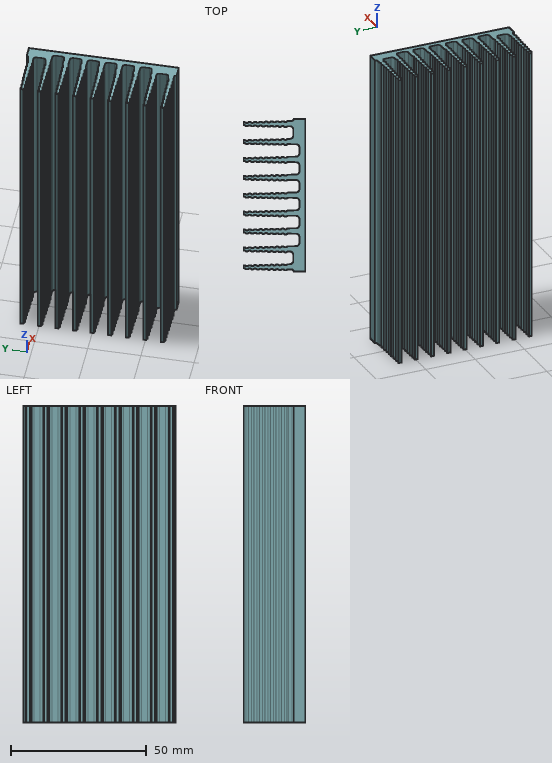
import cadquery as cq
import math

depth = 22.86
width = 56.39
length = 116.84

base_thickness = 2.286
edge_thickness = 4.572
step_thickness = 4.4

fin_count = 9
fin_pitch = 6.604
tip_thickness = 1.19
taper_angle = 1.4
slot_fillet = 1.13
step_fillet = 0.7

scallop_radius = 0.79
scallop_period = 2.032
first_scallop = 0.75
arc_count = 15

arc_chord = scallop_period / 2
arc_rise = scallop_radius - math.sqrt(scallop_radius**2 - (arc_chord / 2) ** 2)

tip_x = -depth / 2
back_x = depth / 2
floor_x = back_x - base_thickness
edge_floor_x = back_x - edge_thickness
step_x = back_x - step_thickness
end_fin_y = (fin_count - 1) / 2 * fin_pitch
fin_centers = [i * fin_pitch - end_fin_y - arc_rise for i in range(fin_count)]


def flank_point(center_y, side, distance, offset):
    """Point on a tapered flank: distance along it from the tip, offset upward (+Y) across it."""
    angle = math.radians(taper_angle)
    x = tip_x + distance * math.cos(angle) - side * offset * math.sin(angle)
    y = center_y + side * (tip_thickness / 2 + distance * math.sin(angle)) + offset * math.cos(angle)
    return (x, y)


def flank_arcs(center_y, side):
    """Scallop arcs of one flank as (start, middle, end), ordered from tip to root.

    Both flanks bend the same way in Y, so the fin snakes at nearly constant thickness.
    The arcs at the two ends are cut short: one by the tip, one at its extreme point.
    """
    first_middle = first_scallop / 2
    half_chord = arc_chord / 2

    def height(from_middle):
        return math.sqrt(scallop_radius**2 - from_middle**2) - (scallop_radius - arc_rise)

    def point(distance, offset):
        return flank_point(center_y, side, distance, offset)

    tip_arc_middle = first_scallop - half_chord
    arcs = [
        (
            point(0, height(tip_arc_middle)),
            point(first_middle, height(first_middle - tip_arc_middle)),
            point(first_scallop, 0),
        )
    ]
    for i in range(arc_count):
        start = first_scallop + i * arc_chord
        rise = -arc_rise if i % 2 == 0 else arc_rise
        arcs.append((point(start, 0), point(start + half_chord, rise), point(start + arc_chord, 0)))

    last_start = first_scallop + arc_count * arc_chord
    arcs.append(
        (
            point(last_start, 0),
            point(last_start + half_chord / 2, height(half_chord / 2)),
            point(last_start + half_chord, arc_rise),
        )
    )
    return arcs


def make_fin(center_y):
    """Tapered, scalloped fin with plain flanks near the root, ending inside the base plate."""
    lower = flank_arcs(center_y, -1)
    upper = flank_arcs(center_y, 1)
    root_distance = (back_x - base_thickness / 2 - tip_x) / math.cos(math.radians(taper_angle))

    outline = cq.Workplane("XY", origin=(0, 0, -length / 2)).moveTo(*lower[0][0])
    for _, middle, end in lower:
        outline = outline.threePointArc(middle, end)
    outline = outline.lineTo(*flank_point(center_y, -1, root_distance, arc_rise))
    outline = outline.lineTo(*flank_point(center_y, 1, root_distance, arc_rise))
    outline = outline.lineTo(*upper[-1][2])
    for start, middle, _ in reversed(upper):
        outline = outline.threePointArc(middle, start)
    return outline.close().extrude(length)


def make_base():
    """Back plate, thicker along both long edges up to the second fin from each side."""
    inner_y = end_fin_y - fin_pitch
    return (
        cq.Workplane("XY", origin=(0, 0, -length / 2))
        .moveTo(back_x, -width / 2)
        .lineTo(back_x, width / 2)
        .lineTo(step_x, width / 2)
        .lineTo(step_x, end_fin_y)
        .lineTo(edge_floor_x, end_fin_y)
        .lineTo(edge_floor_x, inner_y)
        .lineTo(floor_x, inner_y)
        .lineTo(floor_x, -inner_y)
        .lineTo(edge_floor_x, -inner_y)
        .lineTo(edge_floor_x, -end_fin_y)
        .lineTo(step_x, -end_fin_y)
        .lineTo(step_x, -width / 2)
        .close()
        .extrude(length)
    )


def root_edges(body, on_outer_step):
    """Edges along Z where fin flanks meet the outer steps, or else the floors of the slots."""
    margin = 0.01
    floors = (floor_x, edge_floor_x, step_x)

    def is_root(edge):
        center = edge.Center()
        on_floor = any(abs(center.x - x) < margin for x in floors)
        on_plate_corner = abs(center.y) > width / 2 - margin
        is_outside = abs(center.y) > end_fin_y
        return on_floor and not on_plate_corner and is_outside == on_outer_step

    return [edge for edge in body.edges("|Z").vals() if is_root(edge)]


body = make_base()
for fin_y in fin_centers:
    body = body.union(make_fin(fin_y))

body = body.newObject(root_edges(body, False)).fillet(slot_fillet)
result = body.newObject(root_edges(body, True)).fillet(step_fillet)